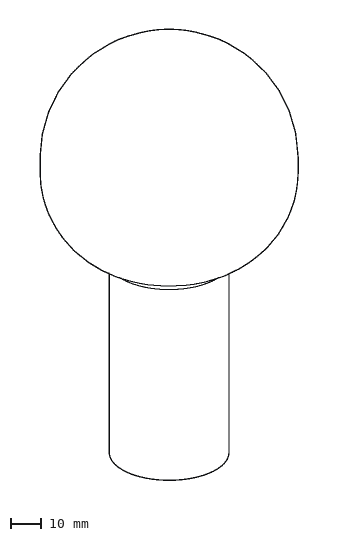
import cadquery as cq
import math

total_height = 150.0
ball_radius = 42.0
band_height = 5.0
lower_round_radius = 33.0
stem_radius = 19.5

band_top = total_height - ball_radius
band_bottom = band_top - band_height
underside_height = band_bottom - lower_round_radius
underside_radius = ball_radius - lower_round_radius

diagonal = math.sqrt(0.5)
lower_arc_middle = (
    underside_radius + lower_round_radius * diagonal,
    band_bottom - lower_round_radius * diagonal,
)
dome_arc_middle = (ball_radius * diagonal, band_top + ball_radius * diagonal)

half_profile = (
    cq.Workplane("XZ")
    .moveTo(0, 0)
    .lineTo(stem_radius, 0)
    .lineTo(stem_radius, underside_height)
    .lineTo(underside_radius, underside_height)
    .threePointArc(lower_arc_middle, (ball_radius, band_bottom))
    .lineTo(ball_radius, band_top)
    .threePointArc(dome_arc_middle, (0, total_height))
    .close()
)

result = half_profile.revolve(360, (0, 0, 0), (0, 1, 0))